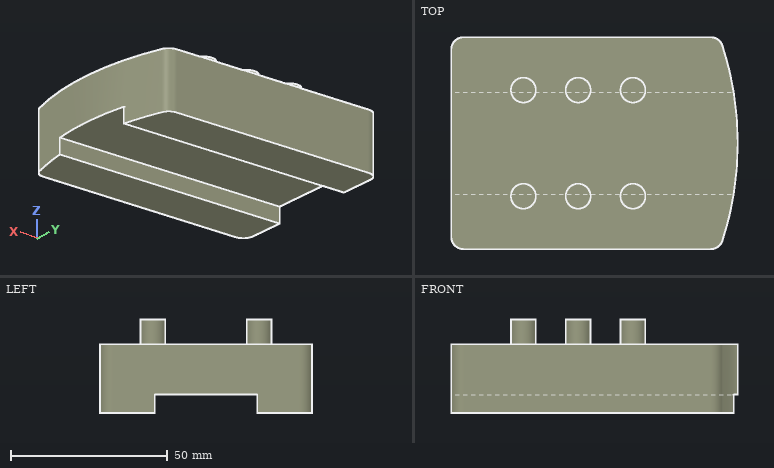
import cadquery as cq

length = 91.8
width = 68.0
body_height = 22.0
corner_radius = 4.0
bow = 5.9
side_length = length - bow

channel_width = 32.7
channel_depth = 5.9

pin_diameter = 8.0
pin_height = 8.0
pin_pitch_x = 17.5
pin_pitch_y = 34.0
pin_middle_x = 40.7


def make_body():
    """Plate with rounded corners and one end bowed outwards."""
    half = width / 2
    return (
        cq.Workplane("XY")
        .moveTo(0, -half)
        .lineTo(side_length, -half)
        .threePointArc((length, 0), (side_length, half))
        .lineTo(0, half)
        .close()
        .extrude(body_height)
        .edges("|Z")
        .fillet(corner_radius)
    )


def make_channel():
    """Full-length rectangular channel, open at the bottom."""
    return cq.Workplane("XY").box(length, channel_width, channel_depth, centered=(False, True, False))


def make_pins():
    """Two rows of three pins standing on the top face."""
    return (
        cq.Workplane("XY", origin=(pin_middle_x, 0, body_height))
        .rarray(pin_pitch_x, pin_pitch_y, 3, 2)
        .circle(pin_diameter / 2)
        .extrude(pin_height)
    )


result = make_body().cut(make_channel()).union(make_pins())